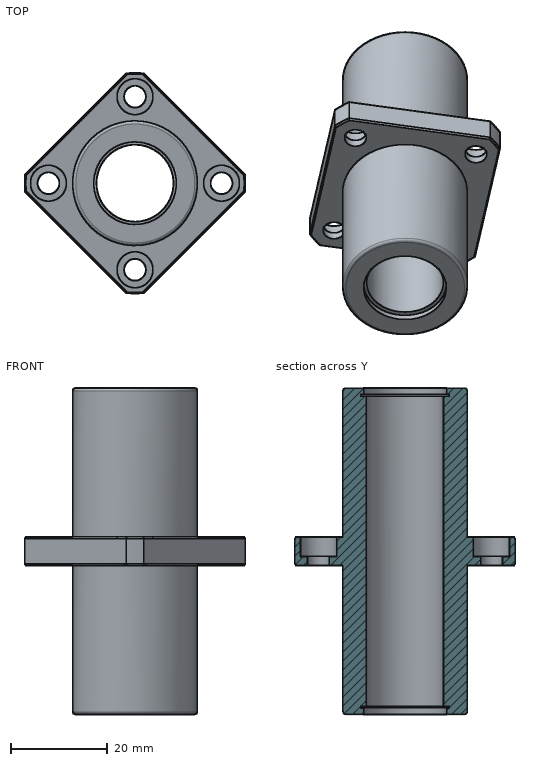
import cadquery as cq
import math

length = 68.0
sleeve_diameter = 26.0
sleeve_end_radius = 0.6
bore_diameter = 16.0
recess_diameter = 17.2
recess_depth = 1.7
groove_diameter = 18.4
groove_width = 0.35

flange_side = 34.95
flange_thickness = 6.0
corner_diameter = 46.0
flange_bevel_height = 0.4
flange_bevel_width = 0.3

hole_circle_radius = 18.0
hole_count = 4
hole_diameter = 4.5
counterbore_diameter = 7.5
counterbore_depth = 4.1


def make_sleeve():
    blank = cq.Workplane("XY").circle(sleeve_diameter / 2).extrude(length / 2, both=True)
    return blank.faces("<Z or >Z").fillet(sleeve_end_radius)


def make_flange():
    """Square plate with corners turned to a cylinder and bevelled rims on both faces."""
    middle_height = flange_thickness - 2 * flange_bevel_height
    square = cq.Workplane("XY").rect(flange_side, flange_side).extrude(middle_height / 2, both=True)
    square = square.rotate((0, 0, 0), (0, 0, 1), 45)
    disc = cq.Workplane("XY").circle(corner_diameter / 2).extrude(middle_height / 2, both=True)
    plate = square.intersect(disc)
    bevel_angle = math.degrees(math.atan2(flange_bevel_width, flange_bevel_height))
    rim = plate.faces(">Z").wires().toPending().workplane()
    rim = rim.extrude(flange_bevel_height, taper=bevel_angle, combine=False)
    return plate.union(rim).union(rim.mirror("XY"))


def cut_bore(body):
    """Through bore whose ends open into a recess with an undercut groove at its floor."""
    body = body.faces(">Z").workplane(origin=(0, 0, 0)).hole(bore_diameter)
    floor_height = length / 2 - recess_depth
    floor = cq.Workplane("XY", origin=(0, 0, floor_height))
    recess = floor.circle(recess_diameter / 2).extrude(recess_depth)
    groove = floor.circle(groove_diameter / 2).extrude(groove_width)
    end_cut = recess.union(groove)
    return body.cut(end_cut).cut(end_cut.mirror("XY"))


def cut_screw_holes(body):
    return (
        body.copyWorkplane(cq.Workplane("XY", origin=(0, 0, flange_thickness / 2)))
        .polarArray(hole_circle_radius, 0, 360, hole_count)
        .cboreHole(hole_diameter, counterbore_diameter, counterbore_depth, flange_thickness)
    )


result = make_sleeve().union(make_flange())
result = cut_bore(result)
result = cut_screw_holes(result)